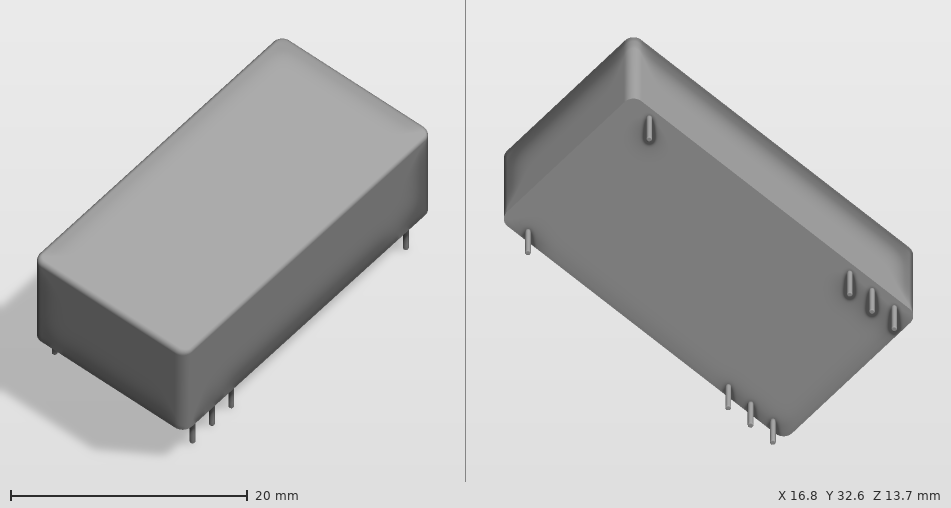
import cadquery as cq

case_width = 16.8
case_length = 32.6
total_height = 13.7
pin_length = 3.5
case_height = total_height - pin_length
corner_radius = 1.0
top_edge_radius = 0.5

pin_diameter = 0.5
pin_tip_radius = 0.1
pin_pitch = 2.55
row_spacing = 15.22
end_pin_y = -14.28
pin_slots = (0, 1, 2, 11)


def make_case():
    block = cq.Workplane("XY").box(case_width, case_length, case_height, centered=(True, True, False))
    return block.edges("|Z").fillet(corner_radius).faces(">Z").edges().fillet(top_edge_radius)


def make_pin(x, y):
    pin = cq.Workplane("XY").center(x, y).circle(pin_diameter / 2).extrude(-pin_length)
    return pin.faces("<Z").edges().fillet(pin_tip_radius)


result = make_case()
for row_x in (-row_spacing / 2, row_spacing / 2):
    for slot in pin_slots:
        result = result.union(make_pin(row_x, end_pin_y + slot * pin_pitch))